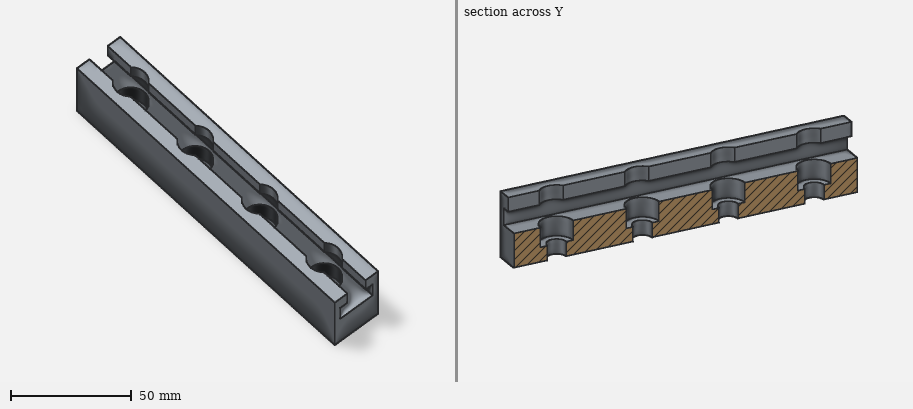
import cadquery as cq

length = 160.0
width = 24.0
height = 30.0

mouth_width = 10.0
slot_width = 18.0
lip_height = 6.5
slot_depth = 14.2

hole_count = 4
hole_pitch = length / hole_count
hole_diameter = 8.8
head_diameter = 15.0
head_depth = 9.0


def t_slot():
    """Narrow mouth between the lips, opening into a wider channel below."""
    mouth = cq.Workplane("XY").workplane(offset=height - slot_depth).box(
        length, mouth_width, slot_depth, centered=(True, True, False)
    )
    channel = cq.Workplane("XY").workplane(offset=height - slot_depth).box(
        length, slot_width, slot_depth - lip_height, centered=(True, True, False)
    )
    return mouth.union(channel)


def hole_row(diameter, bottom):
    """Row of vertical cylinders from the given level up to the rail top."""
    return (
        cq.Workplane("XY")
        .workplane(offset=bottom)
        .rarray(hole_pitch, 1.6, hole_count, 1)
        .circle(diameter / 2)
        .extrude(height - bottom)
    )


rail = cq.Workplane("XY").box(length, width, height, centered=(True, True, False))
through_holes = hole_row(hole_diameter, 0)
head_clearance = hole_row(head_diameter, height - slot_depth - head_depth)

result = rail.cut(t_slot()).cut(through_holes).cut(head_clearance)